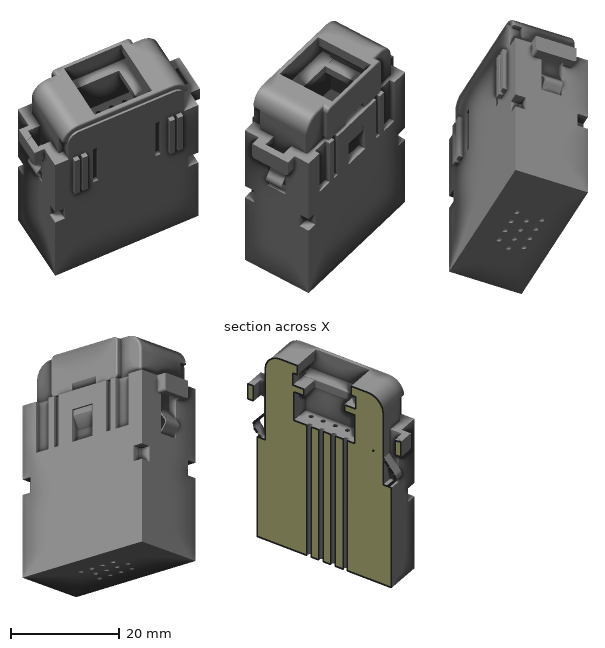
import cadquery as cq
import math


BODY_WIDTH = 14.7
BODY_LENGTH = 29.85
BODY_HEIGHT = 33.65
CENTER_X = BODY_WIDTH / 2
HALF_LENGTH = BODY_LENGTH / 2

OVERALL_LENGTH = 34.0
TAB_BOTTOM = 30.15
TAB_FILLET = 0.6
FRONT_TAB_WIDTH = 6.15
REAR_TAB_WIDTH = 8.22
ARROW_WIDTH = 1.25
ARROW_DEPTH = 0.13

SLOT_WIDTH = 4.1
SLOT_BOTTOM = 22.53
SLOT_OUTER_Y = 15.65
LEAF_WIDTH = 3.52
LEAF_THICKNESS = 0.25
LEAF_PEAK_Y = 15.85
LEAF_PEAK_Z = 24.85
LEAF_RADIUS = 1.17
LEAF_ANGLE = 50.0
LEAF_UPPER_RUN = 2.6
LEAF_LOWER_RUN = 1.5

GROOVE_BOTTOM = 23.6
WIDE_GROOVE_WIDTH = 3.2
WIDE_GROOVE_DEPTH = 1.05
WIDE_GROOVE_Y = 10.0
NARROW_GROOVE_WIDTH = 1.1
NARROW_GROOVE_DEPTH = 0.85
NARROW_GROOVE_Y = 6.5
RIB_WIDTH = 1.05
RIB_HEIGHT = 0.92
RIB_Y = (9.1, 10.8)

WINDOW_WIDTH = 5.08
WINDOW_TOP = 29.95
WINDOW_DEPTH = 1.5
LATCH_WIDTH = 4.6
LATCH_RECESS = 0.15
LATCH_TOP = 29.83
LATCH_SLOPE_TOP = 28.75
LATCH_SLOPE_BOTTOM = 26.18

NOTCH_BOTTOM = 16.2
NOTCH_TOP = 19.2
NOTCH_X = 2.1
NOTCH_Y = 2.05
NOTCH_CHAMFER_X = 0.45
NOTCH_CHAMFER_Y = 0.15

CAP_TOP = 41.95
CAP_LENGTH = 26.2
CAP_MIN_X = 1.7
CAP_MAX_X = 14.25
CAP_RADIUS = 3.5
CAP_NEAR_FILLET = 0.45
CAP_FAR_FILLET = 0.35
BACK_MIN_X = 12.55
BACK_INSET = 1.0
BACK_TOP_DROP = 1.2
RELIEF_TOP = 38.7

SLOT_INNER_Y = CAP_LENGTH / 2

PANEL_MIN_X = 0.45
PANEL_WIDTH = 16.6
PANEL_BOTTOM = 33.73
PANEL_CORNER_RADIUS = 1.0
PANEL_EDGE_FILLET = 0.3
PRY_WIDTH = 5.95
PRY_TOP = 35.3
PRY_DEPTH = 0.92

MOUTH_MIN_X = 1.2
MOUTH_MAX_X = 13.35
MOUTH_LENGTH = 11.95
LIP_BOTTOM = 39.8
UNDERCUT_LENGTH = 13.85
LEDGE_Z = 37.2
BAR_RISE = 0.1
KEY_MIN_X = 11.33
KEY_TOP = 39.22
KEY_LENGTH = 14.6
WELL_MIN_X = 3.2
WELL_MAX_X = 10.57
WELL_LENGTH = 8.95
WELL_RIM_BOTTOM = 35.65
WELL_LOWER_LENGTH = 13.42
WELL_LOWER_MAX_X = 11.0
WELL_FLOOR = 29.35

HOLE_DIAMETER = 1.0
HOLE_PITCH_X = 2.5
HOLE_PITCH_Y = 2.7
HOLES_PER_COLUMN = 4
OUTER_COLUMN_START = -3.3
MIDDLE_COLUMN_START = OUTER_COLUMN_START - HOLE_PITCH_Y / 2

SIDES = (-1, 1)


def block(x_range, y_range, z_range):
    """Box between opposite corner limits, given in either order."""
    x0, x1 = sorted(x_range)
    y0, y1 = sorted(y_range)
    z0, z1 = sorted(z_range)
    return cq.Workplane("XY").box(x1 - x0, y1 - y0, z1 - z0, centered=False).translate((x0, y0, z0))


def centered_block(x_range, length, z_range):
    """Box symmetric about the XZ plane."""
    return block(x_range, (-length / 2, length / 2), z_range)


def width_range(width):
    """X limits of a feature centred on the body."""
    return (CENTER_X - width / 2, CENTER_X + width / 2)


def end_tab(side, width):
    tab = block(width_range(width), (0, side * OVERALL_LENGTH / 2), (TAB_BOTTOM, BODY_HEIGHT))
    return tab.edges("|Y and <Z").fillet(TAB_FILLET)


def tab_arrow():
    """Shallow arrow on top of the -Y tab, pointing outward."""
    arrow = (
        cq.Workplane("XY", origin=(0, 0, BODY_HEIGHT - ARROW_DEPTH))
        .moveTo(CENTER_X - ARROW_WIDTH / 2, -SLOT_OUTER_Y)
        .lineTo(CENTER_X + ARROW_WIDTH / 2, -SLOT_OUTER_Y)
        .lineTo(CENTER_X, -OVERALL_LENGTH / 2)
        .close()
    )
    return arrow.extrude(ARROW_DEPTH)


def end_slot(side):
    return block(
        width_range(SLOT_WIDTH),
        (side * SLOT_INNER_Y, side * SLOT_OUTER_Y),
        (SLOT_BOTTOM, BODY_HEIGHT),
    )


def spring_leaf():
    """Bent strip at the +Y end: two sloping arms joined by a round nose."""
    angle = math.radians(LEAF_ANGLE)
    center_y = LEAF_PEAK_Y - LEAF_RADIUS
    inner_radius = LEAF_RADIUS - LEAF_THICKNESS
    inner_peak_y = center_y + inner_radius
    upper_rise = LEAF_UPPER_RUN * math.tan(angle)
    lower_drop = LEAF_LOWER_RUN * math.tan(angle)

    outer_y = center_y + LEAF_RADIUS * math.sin(angle)
    inner_y = center_y + inner_radius * math.sin(angle)
    outer_rise = LEAF_RADIUS * math.cos(angle)
    inner_rise = inner_radius * math.cos(angle)
    return (
        cq.Workplane("YZ", origin=(CENTER_X - LEAF_WIDTH / 2, 0, LEAF_PEAK_Z))
        .moveTo(outer_y - LEAF_UPPER_RUN, outer_rise + upper_rise)
        .lineTo(outer_y, outer_rise)
        .threePointArc((LEAF_PEAK_Y, 0), (outer_y, -outer_rise))
        .lineTo(outer_y - LEAF_LOWER_RUN, -outer_rise - lower_drop)
        .lineTo(inner_y - LEAF_LOWER_RUN, -inner_rise - lower_drop)
        .lineTo(inner_y, -inner_rise)
        .threePointArc((inner_peak_y, 0), (inner_y, inner_rise))
        .lineTo(inner_y - LEAF_UPPER_RUN, inner_rise + upper_rise)
        .close()
        .extrude(LEAF_WIDTH)
    )


def side_strip(x_range, center_y, width):
    """Upright strip on a long side, from the groove bottom to the body top."""
    return block(x_range, (center_y - width / 2, center_y + width / 2), (GROOVE_BOTTOM, BODY_HEIGHT))


def corner_notch():
    """Notch at the corner X = 0, Y = -HALF_LENGTH with a bevelled inner corner."""
    inner_y = NOTCH_Y - HALF_LENGTH
    return (
        cq.Workplane("XY", origin=(0, 0, NOTCH_BOTTOM))
        .moveTo(0, -HALF_LENGTH)
        .lineTo(NOTCH_X, -HALF_LENGTH)
        .lineTo(NOTCH_X, inner_y - NOTCH_CHAMFER_Y)
        .lineTo(NOTCH_X - NOTCH_CHAMFER_X, inner_y)
        .lineTo(0, inner_y)
        .close()
        .extrude(NOTCH_TOP - NOTCH_BOTTOM)
    )


def latch_window():
    """Window in the -X side, partly filled by a latch with a sloping underside."""
    window = centered_block((0, WINDOW_DEPTH), WINDOW_WIDTH, (GROOVE_BOTTOM, WINDOW_TOP))
    latch = (
        cq.Workplane("XZ", origin=(0, LATCH_WIDTH / 2, 0))
        .moveTo(WINDOW_DEPTH, LATCH_TOP)
        .lineTo(LATCH_RECESS, LATCH_TOP)
        .lineTo(LATCH_RECESS, LATCH_SLOPE_TOP)
        .lineTo(WINDOW_DEPTH, LATCH_SLOPE_BOTTOM)
        .close()
        .extrude(LATCH_WIDTH)
    )
    return window.cut(latch)


def make_body():
    body = centered_block((0, BODY_WIDTH), BODY_LENGTH, (0, BODY_HEIGHT))
    body = body.union(end_tab(-1, FRONT_TAB_WIDTH)).union(end_tab(1, REAR_TAB_WIDTH))
    body = body.cut(tab_arrow()).cut(latch_window())

    leaf = spring_leaf()
    notch = corner_notch()
    far_notch = notch.mirror("YZ").translate((BODY_WIDTH, 0, 0))
    for side in SIDES:
        body = body.cut(end_slot(side))
        body = body.union(leaf if side > 0 else leaf.mirror("XZ"))
        for corner in (notch, far_notch):
            body = body.cut(corner if side < 0 else corner.mirror("XZ"))

        body = body.cut(side_strip((0, WIDE_GROOVE_DEPTH), side * WIDE_GROOVE_Y, WIDE_GROOVE_WIDTH))
        for x_range in ((0, NARROW_GROOVE_DEPTH), (BODY_WIDTH - NARROW_GROOVE_DEPTH, BODY_WIDTH)):
            body = body.cut(side_strip(x_range, side * NARROW_GROOVE_Y, NARROW_GROOVE_WIDTH))
        for rib_y in RIB_Y:
            body = body.union(side_strip((BODY_WIDTH, BODY_WIDTH + RIB_HEIGHT), side * rib_y, RIB_WIDTH))
    return body


def arched_block(x_range, length, top, radius):
    """Block standing on the body with its two upper long edges rounded."""
    return centered_block(x_range, length, (BODY_HEIGHT, top)).edges("|X and >Z").fillet(radius)


def make_panel():
    panel = centered_block((PANEL_MIN_X, CAP_MIN_X + CAP_NEAR_FILLET), PANEL_WIDTH, (PANEL_BOTTOM, CAP_TOP))
    panel = panel.edges("|X").fillet(PANEL_CORNER_RADIUS)
    panel = panel.faces("<X").edges().fillet(PANEL_EDGE_FILLET)
    pry_recess = (
        cq.Workplane("XZ", origin=(0, PRY_WIDTH / 2, 0))
        .moveTo(PANEL_MIN_X, PRY_TOP)
        .lineTo(PANEL_MIN_X, PANEL_BOTTOM)
        .lineTo(PANEL_MIN_X + PRY_DEPTH, PANEL_BOTTOM)
        .close()
        .extrude(PRY_WIDTH)
    )
    return panel.cut(pry_recess)


def make_cap():
    cap = arched_block((CAP_MIN_X, CAP_MAX_X), CAP_LENGTH, CAP_TOP, CAP_RADIUS)
    cap = cap.faces("<X").edges("not <Z").fillet(CAP_NEAR_FILLET)
    cap = cap.faces(">X").edges("not <Z").fillet(CAP_FAR_FILLET)
    cap = cap.cut(centered_block((BACK_MIN_X, CAP_MAX_X), CAP_LENGTH, (BODY_HEIGHT, RELIEF_TOP)))
    back = arched_block(
        (BACK_MIN_X, BODY_WIDTH),
        CAP_LENGTH - 2 * BACK_INSET,
        CAP_TOP - BACK_TOP_DROP,
        CAP_RADIUS - BACK_TOP_DROP,
    )
    return cap.union(back).union(make_panel())


def socket_opening():
    """Lipped mouth, undercut chamber and contact well, stacked from the top down."""
    mouth_x = (MOUTH_MIN_X, MOUTH_MAX_X)
    well_x = (WELL_MIN_X, WELL_MAX_X)
    lower_well_x = (WELL_MIN_X, WELL_LOWER_MAX_X)
    opening = centered_block(mouth_x, MOUTH_LENGTH, (LIP_BOTTOM, CAP_TOP))
    opening = opening.union(centered_block(mouth_x, UNDERCUT_LENGTH, (LEDGE_Z, LIP_BOTTOM)))
    opening = opening.union(centered_block((KEY_MIN_X, MOUTH_MAX_X), KEY_LENGTH, (LEDGE_Z, KEY_TOP)))
    bar = centered_block((WELL_MAX_X, MOUTH_MAX_X), KEY_LENGTH, (LEDGE_Z, LEDGE_Z + BAR_RISE))
    opening = opening.cut(bar)
    opening = opening.union(centered_block(well_x, WELL_LENGTH, (WELL_RIM_BOTTOM, LEDGE_Z)))
    return opening.union(centered_block(lower_well_x, WELL_LOWER_LENGTH, (WELL_FLOOR, WELL_RIM_BOTTOM)))


def contact_holes():
    columns = (
        (CENTER_X - HOLE_PITCH_X, OUTER_COLUMN_START),
        (CENTER_X, MIDDLE_COLUMN_START),
        (CENTER_X + HOLE_PITCH_X, OUTER_COLUMN_START),
    )
    centers = [
        (x, start_y + row * HOLE_PITCH_Y)
        for x, start_y in columns
        for row in range(HOLES_PER_COLUMN)
    ]
    return cq.Workplane("XY").pushPoints(centers).circle(HOLE_DIAMETER / 2).extrude(WELL_FLOOR)


result = make_body().union(make_cap()).cut(socket_opening()).cut(contact_holes())